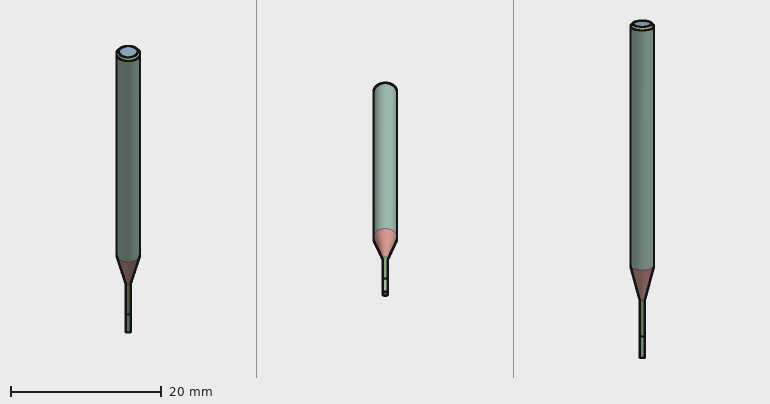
import cadquery as cq
import math

total_length = 47.15
shank_diameter = 3.15
cutter_diameter = 0.7
point_angle = 140.0

cutter_top = 3.15
neck_top = 8.15
taper_top = 12.95

chamfer_width = 0.35
chamfer_height = 0.4

shank_radius = shank_diameter / 2
cutter_radius = cutter_diameter / 2
point_height = cutter_radius / math.tan(math.radians(point_angle / 2))


def revolve_profile(points):
    """Turn a closed half profile of (radius, height) points about the Z axis."""
    return cq.Workplane("XZ").polyline(points).close().revolve(360, (0, 0, 0), (0, 1, 0))


def make_cutter():
    """Cylindrical cutting end with a shallow conical point."""
    return revolve_profile([
        (0, 0),
        (cutter_radius, point_height),
        (cutter_radius, cutter_top),
        (0, cutter_top),
    ])


def make_shank():
    """Slim neck, taper and chamfered clamping shank, resting on the cutter."""
    return revolve_profile([
        (0, cutter_top),
        (cutter_radius, cutter_top),
        (cutter_radius, neck_top),
        (shank_radius, taper_top),
        (shank_radius, total_length - chamfer_height),
        (shank_radius - chamfer_width, total_length),
        (0, total_length),
    ])


cutter = make_cutter()
shank = make_shank()

result = cq.Compound.makeCompound([cutter.val(), shank.val()])